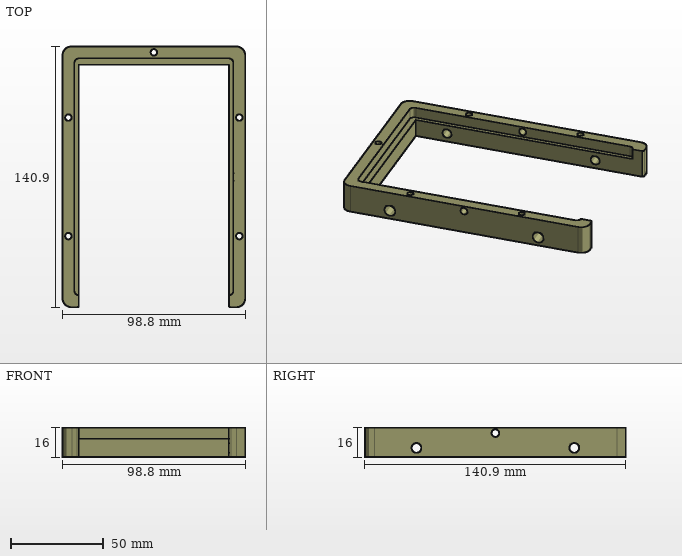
import cadquery as cq
import math

width = 98.79
length = 140.92
height = 16.0
corner_radius = 5.0


arm_thickness = 8.95
back_thickness = 10.0
arm_end_easing_width = 1.1
arm_end_easing_radius = 1.2

rim_thickness = 6.5
recess_depth = 6.0
recess_corner_radius = 2.5

screw_diameter = 3.4
screw_inset = rim_thickness / 2
arm_screw_spacing = 64.0

bolt_clearance_diameter = 6.2
bolt_grip_diameter = 5.15
bolt_spacing = 85.2
bolt_height = 5.0
pin_diameter = 4.0
pin_height = height - recess_depth / 2


def make_frame():
    """Rounded block with the opening cut through its -Y side."""
    block = cq.Workplane("XY").rect(width, length).extrude(height).edges("|Z").fillet(corner_radius)
    opening = (
        cq.Workplane("XY")
        .center(0, -back_thickness)
        .rect(width - 2 * arm_thickness, length)
        .extrude(height)
    )
    return block.cut(opening)


def make_arm_end_easing(side):
    """Cutter that rounds the inner end corner of one arm: side is -1 for the -X arm, +1 for the +X arm."""
    end_y = -length / 2
    inner_x = width / 2 - arm_thickness
    tangent_x = inner_x + arm_end_easing_width

    def arc_point(distance):
        """Point on the arc at this distance inward from where it leaves the flat end."""
        rise = arm_end_easing_radius - math.sqrt(arm_end_easing_radius**2 - distance**2)
        return side * (tangent_x - distance), end_y + rise

    return (
        cq.Workplane("XY")
        .moveTo(*arc_point(0))
        .threePointArc(arc_point(arm_end_easing_width / 2), arc_point(arm_end_easing_width))
        .lineTo(side * inner_x, end_y)
        .close()
        .extrude(height)
    )


def make_recess():
    """Rounded pocket that leaves an even rim on all four sides."""
    return (
        cq.Workplane("XY", origin=(0, 0, height - recess_depth))
        .rect(width - 2 * rim_thickness, length - 2 * rim_thickness)
        .extrude(recess_depth)
        .edges("|Z")
        .fillet(recess_corner_radius)
    )


def make_screw_holes():
    """One hole in the middle of the back and two in each arm."""
    arm_x = width / 2 - screw_inset
    points = [(0, length / 2 - screw_inset)]
    for x in (-arm_x, arm_x):
        for y in (-arm_screw_spacing / 2, arm_screw_spacing / 2):
            points.append((x, y))
    return cq.Workplane("XY").pushPoints(points).circle(screw_diameter / 2).extrude(height)


def make_cross_hole(side, y, z, diameter):
    """Hole along X through one arm: side is -1 for the -X arm, +1 for the +X arm."""
    hole = cq.Workplane("YZ").center(y, z).circle(diameter / 2)
    return hole.extrude(side * width / 2)


result = make_frame().cut(make_recess()).cut(make_screw_holes())
for side, bolt_diameter in ((-1, bolt_clearance_diameter), (1, bolt_grip_diameter)):
    result = result.cut(make_arm_end_easing(side))
    for bolt_y in (-bolt_spacing / 2, bolt_spacing / 2):
        result = result.cut(make_cross_hole(side, bolt_y, bolt_height, bolt_diameter))
    result = result.cut(make_cross_hole(side, 0, pin_height, pin_diameter))